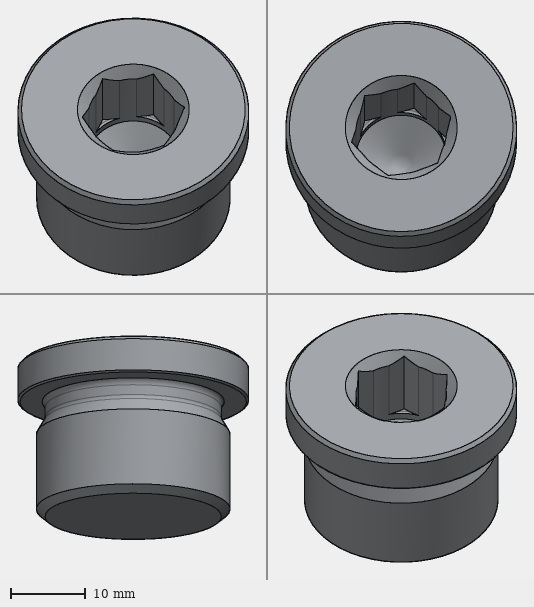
import cadquery as cq
import math

flange_radius = 15.5
flange_thickness = 5.05
flange_top_chamfer = 0.5
flange_bottom_chamfer_height = 0.22
flange_bottom_chamfer_width = 0.3

total_height = 21.0
shank_radius = 26.0 / 2
shank_top_depth = 9.58
end_chamfer_height = 1.0
end_chamfer_width = 1.18
neck_radius = 23.7 / 2
relief_fillet = 1.18
upper_fillet_width = 0.37
relief_angle = math.radians(30)

hex_across_flats = 11.95
hex_corner_diameter = hex_across_flats / math.cos(math.radians(30))
hex_depth = 10.0
hex_floor_radius = 6.48
hex_floor_slope = math.radians(15)
pilot_radius = 6.08
pilot_depth = 11.0
drill_half_angle = math.radians(59)
countersink_radius = 7.5


def make_body():
    """Revolve the flange, relief groove and shank outline."""
    cone_start_radius = neck_radius + relief_fillet * (1 - math.cos(relief_angle))
    cone_height = (shank_radius - cone_start_radius) / math.tan(relief_angle)
    cone_start_z = -shank_top_depth + cone_height
    neck_bottom_z = cone_start_z + relief_fillet * math.sin(relief_angle)
    half_angle = relief_angle / 2
    lower_arc_middle = (
        neck_radius + relief_fillet * (1 - math.cos(half_angle)),
        neck_bottom_z - relief_fillet * math.sin(half_angle),
    )
    upper_sweep = math.acos(1 - upper_fillet_width / relief_fillet)
    neck_top_z = -flange_thickness - relief_fillet * math.sin(upper_sweep)
    upper_arc_middle = (
        neck_radius + relief_fillet * (1 - math.cos(upper_sweep / 2)),
        neck_top_z + relief_fillet * math.sin(upper_sweep / 2),
    )
    return (
        cq.Workplane("XZ")
        .moveTo(0, 0)
        .lineTo(flange_radius - flange_top_chamfer, 0)
        .lineTo(flange_radius, -flange_top_chamfer)
        .lineTo(flange_radius, -flange_thickness + flange_bottom_chamfer_height)
        .lineTo(flange_radius - flange_bottom_chamfer_width, -flange_thickness)
        .lineTo(neck_radius + upper_fillet_width, -flange_thickness)
        .threePointArc(upper_arc_middle, (neck_radius, neck_top_z))
        .lineTo(neck_radius, neck_bottom_z)
        .threePointArc(lower_arc_middle, (cone_start_radius, cone_start_z))
        .lineTo(shank_radius, -shank_top_depth)
        .lineTo(shank_radius, -total_height + end_chamfer_height)
        .lineTo(shank_radius - end_chamfer_width, -total_height)
        .lineTo(0, -total_height)
        .close()
        .revolve(360, (0, 0), (0, 1))
    )


def make_hex_socket():
    """Hexagonal prism with corners on the X axis, its lower corners bevelled to a round floor."""
    prism = cq.Workplane("XY").polygon(6, hex_corner_diameter).extrude(-hex_depth)
    corner_radius = hex_corner_diameter / 2
    bevel_width = corner_radius - hex_floor_radius
    bevel_height = bevel_width * math.tan(hex_floor_slope)
    envelope = (
        cq.Workplane("XZ")
        .moveTo(0, 0)
        .lineTo(corner_radius, 0)
        .lineTo(corner_radius, -hex_depth + bevel_height)
        .lineTo(hex_floor_radius, -hex_depth)
        .lineTo(0, -hex_depth)
        .close()
        .revolve(360, (0, 0), (0, 1))
    )
    return prism.intersect(envelope)


def make_pilot_bore():
    """45 degree countersink, round bore and conical drill point."""
    countersink_depth = countersink_radius - pilot_radius
    point_height = pilot_radius / math.tan(drill_half_angle)
    return (
        cq.Workplane("XZ")
        .moveTo(0, 0)
        .lineTo(countersink_radius, 0)
        .lineTo(pilot_radius, -countersink_depth)
        .lineTo(pilot_radius, -pilot_depth)
        .lineTo(0, -pilot_depth - point_height)
        .close()
        .revolve(360, (0, 0), (0, 1))
    )


result = make_body().cut(make_hex_socket()).cut(make_pilot_bore())